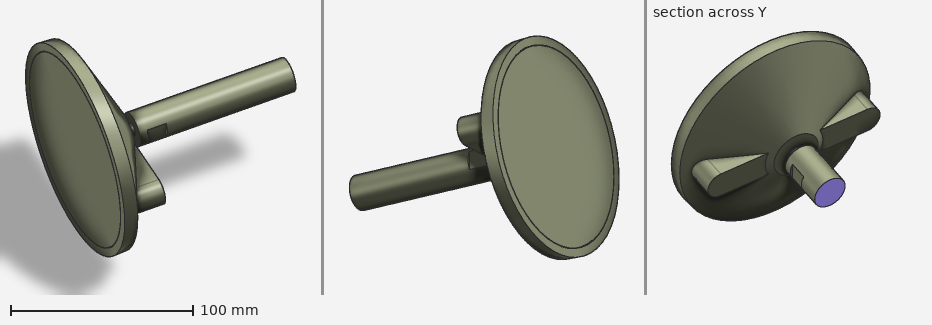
import cadquery as cq
import math

total_length = 130.0

plate_radius = 62.0
rim_top_radius = 61.63
rim_height = 8.2
cone_top_radius = 14.3
cone_top_level = 30.0

groove_inner_diameter = 113.5
groove_outer_diameter = 114.0
groove_depth = 1.0

lug_width = 16.5
lug_length = 111.4
lug_top_level = 28.0

ball_diameter = 12.5
neck_diameter = 7.8
neck_start_level = 31.5

spindle_diameter = 20.0
spindle_start_level = 35.0
flats_start_level = 40.0
flats_length = 11.5
across_flats = 17.0


def cylinder_along_y(diameter, start_level, end_level):
    """Cylinder on the Y axis between two levels."""
    base = cq.Workplane("XZ", origin=(0, start_level, 0))
    return base.circle(diameter / 2).extrude(start_level - end_level)


def make_plate():
    """Disc with a slightly drafted rim and a conical back."""
    half_profile = [
        (0, 0),
        (plate_radius, 0),
        (rim_top_radius, rim_height),
        (cone_top_radius, cone_top_level),
        (0, cone_top_level),
    ]
    return cq.Workplane("XY").polyline(half_profile).close().revolve()


def make_groove():
    """Ring removed from the floor face around the pad."""
    outer = cylinder_along_y(groove_outer_diameter, 0, groove_depth)
    return outer.cut(cylinder_along_y(groove_inner_diameter, 0, groove_depth))


def make_lug():
    """Round-ended bar, long in X, that rises out of the cone on both sides."""
    base = cq.Workplane("XZ", origin=(0, rim_height, 0))
    return base.slot2D(lug_length, lug_width).extrude(rim_height - lug_top_level)


def make_ball_joint():
    """Ball partly buried in the plate, and the neck that joins it to the spindle."""
    ball_radius = ball_diameter / 2
    neck_rise = math.sqrt(ball_radius**2 - (neck_diameter / 2) ** 2)
    ball_level = neck_start_level - neck_rise
    ball = cq.Workplane("XY", origin=(0, ball_level, 0)).sphere(ball_radius)
    neck = cylinder_along_y(neck_diameter, ball_level, spindle_start_level)
    return ball.union(neck)


def make_spindle():
    """Round rod with two opposite wrench flats facing +X and -X."""
    spindle = cylinder_along_y(spindle_diameter, spindle_start_level, total_length)
    flat_depth = (spindle_diameter - across_flats) / 2
    flats_middle = flats_start_level + flats_length / 2
    for side in (-1, 1):
        cutter_x = side * (across_flats + flat_depth) / 2
        cutter = cq.Workplane("XY").box(flat_depth, flats_length, spindle_diameter)
        spindle = spindle.cut(cutter.translate((cutter_x, flats_middle, 0)))
    return spindle


foot = make_plate().union(make_lug()).cut(make_groove())
result = foot.union(make_ball_joint()).union(make_spindle())